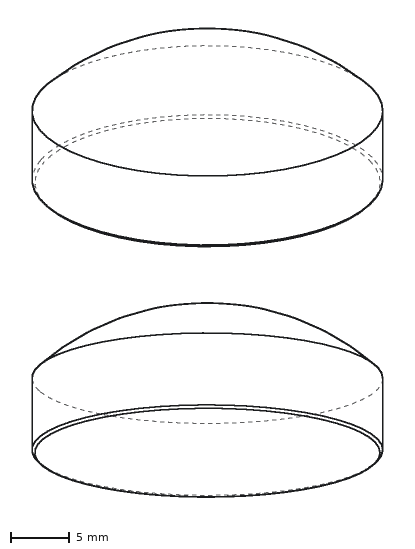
import cadquery as cq

diameter = 30.0
total_height = 12.5
dome_height = 5.9
bottom_chamfer = 0.25

radius = diameter / 2
rim_height = total_height - dome_height

dome_radius = (radius**2 + dome_height**2) / (2 * dome_height)
dome_center_z = total_height - dome_radius
mid_x = radius / 2
mid_z = dome_center_z + (dome_radius**2 - mid_x**2) ** 0.5

profile = (
    cq.Workplane("XZ")
    .lineTo(radius - bottom_chamfer, 0)
    .lineTo(radius, bottom_chamfer)
    .lineTo(radius, rim_height)
    .threePointArc((mid_x, mid_z), (0, total_height))
    .close()
)

result = profile.revolve(360, (0, 0, 0), (0, 1, 0))